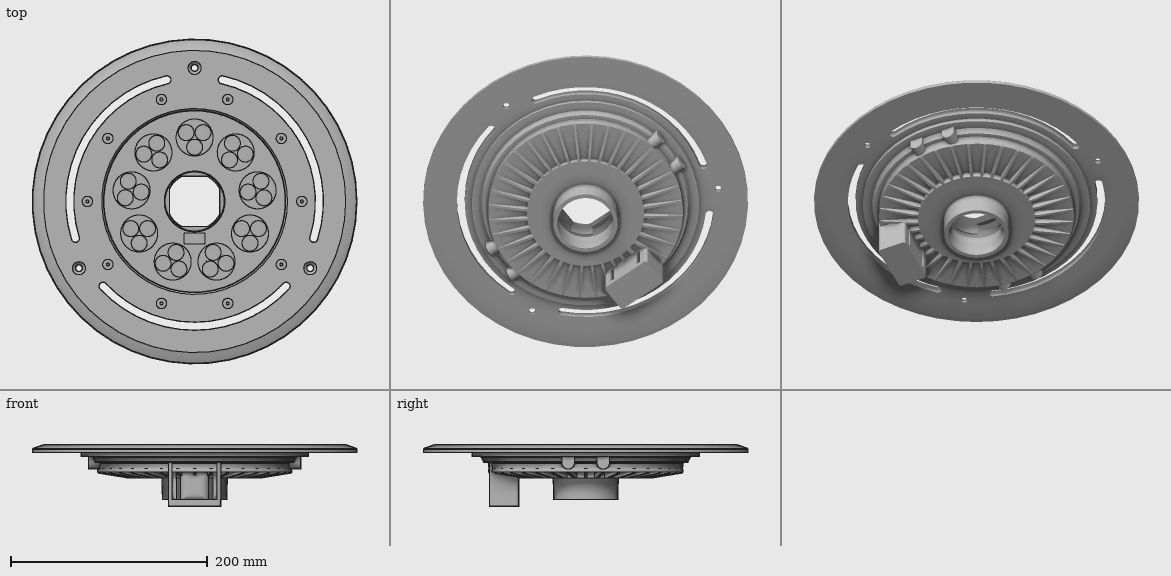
import cadquery as cq
import math

RIM_STEP_Z = -0.5
PLATE_BEVEL_Z = -4.0
PLATE_EDGE_Z = -5.0
PLATE_BOTTOM_Z = -8.2
FLANGE_BOTTOM_Z = -12.2
COLLAR_EDGE_Z = -13.2
COLLAR_BEVEL_Z = -14.2
COLLAR_TAPER_Z = -17.0
COLLAR_BOTTOM_Z = -18.0
BODY_EDGE_Z = -19.0
WAIST_Z = -24.5
FLOOR_Z = -28.0
FIN_ROOT_Z = -29.0
DRUM_BOTTOM_Z = -34.3
HUB_SHOULDER_Z = -35.3
HUB_BOTTOM_Z = -56.0
BRACKET_BOTTOM_Z = -63.0

PLATE_R = 165.0
PLATE_BEVEL_R = 164.5
RIM_CHAMFER_R = 155.0
TOP_FACE_R = 153.5
FLANGE_R = 115.5
COLLAR_R = 106.3
COLLAR_BEVEL_R = 105.5
COLLAR_TAPER_R = 104.0
BODY_TOP_R = 99.5
BODY_R = 99.0
WAIST_R = 98.5
DRUM_R = 59.5
HUB_SHOULDER_R = 33.3
HUB_R = 32.7

COVER_D = 184.0
COVER_SEAT_D = 185.0
COVER_GROOVE_RIM_D = 188.8
COVER_GROOVE_DEPTH = 2.0

ENGRAVE_DEPTH = 0.3

SEAT_RIM_D = 61.7
SEAT_D = 60.0
SEAT_DEPTH = 1.0
NECK_D = 57.0
NECK_FLATS = 50.8
NECK_BOTTOM_Z = -10.2
BARREL_D = 60.5
BARREL_BOTTOM_Z = -30.7
PAD_WIDTH = 22.5
PAD_BOTTOM_Z = -24.0
OUTLET_D = 57.0

LAMP_COUNT = 9
LAMP_CIRCLE_R = 65.0
LAMP_FIRST_ANGLE = 90
LAMP_D = 37.5
LENS_COUNT = 3
LENS_CIRCLE_R = 10.0
LENS_FIRST_ANGLE = 60
LENS_D = 16.2

LABEL_LENGTH = 21.0
LABEL_WIDTH = 11.2
LABEL_CORNER_R = 1.0
LABEL_Y = -37.5

SLOT_COUNT = 3
SLOT_R = 126.7
SLOT_WIDTH = 8.0
SLOT_HALF_ANGLE = 47.2
SLOT_FIRST_ANGLE = 30
MOUNT_COUNT = 3
MOUNT_CIRCLE_R = 135.5
MOUNT_FIRST_ANGLE = 90
MOUNT_D = 6.5
MOUNT_HEAD_D = 13.2
MOUNT_HEAD_ANGLE = 90

SCREW_COUNT = 10
SCREW_CIRCLE_R = 109.0
SCREW_HEAD_D = 10.5
SOCKET_D = 3.0
SOCKET_DEPTH = 2.0

FIN_COUNT = 36
FIN_THICKNESS = 2.5
FIN_CREST_R = 66.0

ARM_REACH = 108.0
ARM_INNER_X = 89.0
ARM_WIDTH = 13.0
ARM_Y = 17.8
ARM_BOTTOM_Z = -25.0

BRACKET_HALF_WIDTH = 26.7
BRACKET_FRONT_Y = -98.0
BRACKET_BACK_Y = -68.0
BRACKET_WALL = 4.0
BRACKET_CORNER_R = 3.0
CAVITY_CORNER_R = 2.3
OPENING_HALF_WIDTH = 18.5
OPENING_TOP_Z = -30.7
GLAND_WIDTH = 28.7
GLAND_CORNER_R = 8.2
GLAND_DEPTH = 13.2


def polar(radius, angle):
    turn = math.radians(angle)
    return (radius * math.cos(turn), radius * math.sin(turn))


def ring_points(count, radius, first_angle=0):
    return [polar(radius, first_angle + i * 360 / count) for i in range(count)]


def disc(diameter, top_z, depth):
    return cq.Workplane("XY").workplane(offset=top_z).circle(diameter / 2).extrude(-depth)


def cone(top_d, bottom_d, top_z, depth):
    return (
        cq.Workplane("XY").workplane(offset=top_z).circle(top_d / 2)
        .workplane(offset=-depth).circle(bottom_d / 2).loft()
    )


def turned_body():
    profile = [
        (0, 0),
        (TOP_FACE_R, 0),
        (RIM_CHAMFER_R, RIM_STEP_Z),
        (PLATE_BEVEL_R, PLATE_BEVEL_Z),
        (PLATE_R, PLATE_EDGE_Z),
        (PLATE_R, PLATE_BOTTOM_Z),
        (FLANGE_R, PLATE_BOTTOM_Z),
        (FLANGE_R, FLANGE_BOTTOM_Z),
        (COLLAR_R, FLANGE_BOTTOM_Z),
        (COLLAR_R, COLLAR_EDGE_Z),
        (COLLAR_BEVEL_R, COLLAR_BEVEL_Z),
        (COLLAR_TAPER_R, COLLAR_TAPER_Z),
        (COLLAR_TAPER_R, COLLAR_BOTTOM_Z),
        (BODY_TOP_R, COLLAR_BOTTOM_Z),
        (BODY_R, BODY_EDGE_Z),
        (WAIST_R, WAIST_Z),
        (BODY_R, FLOOR_Z),
        (DRUM_R, FLOOR_Z),
        (DRUM_R, DRUM_BOTTOM_Z),
        (HUB_SHOULDER_R, DRUM_BOTTOM_Z),
        (HUB_SHOULDER_R, HUB_SHOULDER_Z),
        (HUB_R, HUB_BOTTOM_Z),
        (0, HUB_BOTTOM_Z),
    ]
    return cq.Workplane("XZ").polyline(profile).close().revolve(360, (0, 0, 0), (0, 1, 0))


def fins():
    """Radial cooling fins between the drum and the edge of the body."""
    inner_r = DRUM_R - FIN_THICKNESS
    profile = [
        (inner_r, WAIST_Z),
        (WAIST_R, WAIST_Z),
        (WAIST_R, FIN_ROOT_Z),
        (FIN_CREST_R, DRUM_BOTTOM_Z),
        (inner_r, DRUM_BOTTOM_Z),
    ]
    fin = cq.Workplane("XZ").polyline(profile).close().extrude(FIN_THICKNESS / 2, both=True)
    axis_end = (0, 0, 1)
    blades = [fin.rotate((0, 0, 0), axis_end, i * 360 / FIN_COUNT).val() for i in range(FIN_COUNT)]
    return cq.Workplane("XY").newObject(blades)


def arms():
    """Four round-bottomed arms, two on each X side."""
    radius = ARM_WIDTH / 2
    tangent_z = ARM_BOTTOM_Z + radius
    arm = (
        cq.Workplane("YZ").workplane(offset=ARM_INNER_X)
        .moveTo(ARM_Y - radius, PLATE_BOTTOM_Z)
        .lineTo(ARM_Y - radius, tangent_z)
        .threePointArc((ARM_Y, ARM_BOTTOM_Z), (ARM_Y + radius, tangent_z))
        .lineTo(ARM_Y + radius, PLATE_BOTTOM_Z)
        .close()
        .extrude(ARM_REACH - ARM_INNER_X)
    )
    pair = arm.union(arm.mirror("XZ"))
    return pair.union(pair.mirror("YZ"))


def box_between(half_width, y_front, y_back, z_bottom, z_top):
    return cq.Workplane("XY").box(
        2 * half_width, y_back - y_front, z_top - z_bottom, centered=(True, False, False)
    ).translate((0, y_front, z_bottom))


def bracket():
    """Front-opening cable bracket with a rounded gland standing in its back opening."""
    shell = box_between(
        BRACKET_HALF_WIDTH, BRACKET_FRONT_Y, BRACKET_BACK_Y, BRACKET_BOTTOM_Z, COLLAR_TAPER_Z
    ).edges("|Z").fillet(BRACKET_CORNER_R)
    inner_back_y = BRACKET_BACK_Y - BRACKET_WALL
    cavity = box_between(
        BRACKET_HALF_WIDTH - BRACKET_WALL, BRACKET_FRONT_Y, inner_back_y, HUB_BOTTOM_Z, COLLAR_TAPER_Z
    ).edges("|Z and >Y").fillet(CAVITY_CORNER_R)
    opening = box_between(
        OPENING_HALF_WIDTH, inner_back_y, BRACKET_BACK_Y, HUB_BOTTOM_Z, OPENING_TOP_Z
    )
    gland = box_between(
        GLAND_WIDTH / 2, inner_back_y - GLAND_DEPTH, BRACKET_BACK_Y, HUB_BOTTOM_Z, FLOOR_Z
    ).edges("|Z and <Y").fillet(GLAND_CORNER_R)
    return shell.cut(cavity).cut(opening).union(gland)


def cover_groove():
    profile = [
        (COVER_D / 2, 0),
        (COVER_GROOVE_RIM_D / 2, 0),
        (COVER_SEAT_D / 2, -COVER_GROOVE_DEPTH),
        (COVER_D / 2, -COVER_GROOVE_DEPTH),
    ]
    return cq.Workplane("XZ").polyline(profile).close().revolve(360, (0, 0, 0), (0, 1, 0))


def bore():
    """Through bore: rim seat, four-flat neck, barrel with four corner pads, outlet."""
    seat = cone(SEAT_RIM_D, SEAT_D, 0, SEAT_DEPTH)
    neck = disc(NECK_D, 0, -NECK_BOTTOM_Z).intersect(
        cq.Workplane("XY").rect(NECK_FLATS, NECK_FLATS).extrude(NECK_BOTTOM_Z)
    )
    corner_bars = (
        cq.Workplane("XY").workplane(offset=NECK_BOTTOM_Z)
        .rect(BARREL_D, PAD_WIDTH).extrude(PAD_BOTTOM_Z - NECK_BOTTOM_Z)
    )
    pads = (
        corner_bars.rotate((0, 0, 0), (0, 0, 1), 45)
        .union(corner_bars.rotate((0, 0, 0), (0, 0, 1), -45))
        .cut(disc(NECK_D, 0, -PAD_BOTTOM_Z))
    )
    barrel = disc(BARREL_D, NECK_BOTTOM_Z, NECK_BOTTOM_Z - BARREL_BOTTOM_Z).cut(pads)
    outlet = disc(OUTLET_D, BARREL_BOTTOM_Z, BARREL_BOTTOM_Z - HUB_BOTTOM_Z)
    return seat.union(neck).union(barrel).union(outlet)


def lamp_recesses():
    """Shallow disc recesses, each with three lens recesses one step deeper."""
    lens_top_z = -ENGRAVE_DEPTH
    lamp = disc(LAMP_D, 0, ENGRAVE_DEPTH)
    lens = disc(LENS_D, lens_top_z, ENGRAVE_DEPTH)
    for x, y in ring_points(LENS_COUNT, LENS_CIRCLE_R, LENS_FIRST_ANGLE):
        lamp = lamp.union(lens.translate((x, y, 0)))
    lamp = lamp.translate((LAMP_CIRCLE_R, 0, 0))
    step = 360 / LAMP_COUNT
    axis_end = (0, 0, 1)
    lamps = [
        lamp.rotate((0, 0, 0), axis_end, LAMP_FIRST_ANGLE + i * step).val() for i in range(LAMP_COUNT)
    ]
    return cq.Workplane("XY").newObject(lamps)


def label_recess():
    return (
        cq.Workplane("XY").center(0, LABEL_Y)
        .rect(LABEL_LENGTH, LABEL_WIDTH).extrude(-ENGRAVE_DEPTH)
        .edges("|Z").fillet(LABEL_CORNER_R)
    )


def curved_slot(middle_angle):
    """Arc-shaped slot with round ends, cut through the plate."""
    inner_r = SLOT_R - SLOT_WIDTH / 2
    outer_r = SLOT_R + SLOT_WIDTH / 2
    start = middle_angle - SLOT_HALF_ANGLE
    end = middle_angle + SLOT_HALF_ANGLE
    cap_angle = math.degrees(SLOT_WIDTH / 2 / SLOT_R)
    return (
        cq.Workplane("XY").moveTo(*polar(outer_r, start))
        .threePointArc(polar(outer_r, middle_angle), polar(outer_r, end))
        .threePointArc(polar(SLOT_R, end + cap_angle), polar(inner_r, end))
        .threePointArc(polar(inner_r, middle_angle), polar(inner_r, start))
        .threePointArc(polar(SLOT_R, start - cap_angle), polar(outer_r, start))
        .close().extrude(PLATE_BOTTOM_Z)
    )


result = turned_body().union(fins()).union(arms()).union(bracket())
result = result.cut(cover_groove())
result = result.cut(bore()).cut(lamp_recesses()).cut(label_recess())

for slot_index in range(SLOT_COUNT):
    result = result.cut(curved_slot(SLOT_FIRST_ANGLE + slot_index * 360 / SLOT_COUNT))

result = (
    result.faces(">Z").workplane(origin=(0, 0, 0))
    .pushPoints(ring_points(MOUNT_COUNT, MOUNT_CIRCLE_R, MOUNT_FIRST_ANGLE))
    .cskHole(MOUNT_D, MOUNT_HEAD_D, MOUNT_HEAD_ANGLE)
)

screw = disc(SCREW_HEAD_D, 0, ENGRAVE_DEPTH).union(disc(SOCKET_D, 0, SOCKET_DEPTH))
for x, y in ring_points(SCREW_COUNT, SCREW_CIRCLE_R):
    result = result.cut(screw.translate((x, y, 0)))